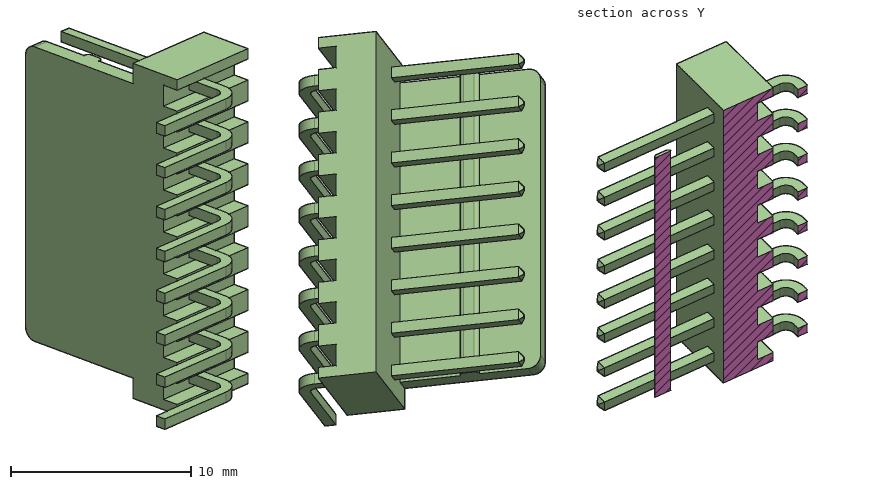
import cadquery as cq


pin_count = 8
pitch = 2.54
pin_size = 0.64
pin_axis_y = 2.4
pin_tip_x = 0.55
pin_end_x = 13.72
pin_end_y = -3.5
bend_outer_radius = 1.2
bend_inner_radius = bend_outer_radius - pin_size
tip_taper = 0.22

body_height = pin_count * pitch
body_depth = 5.8
body_front_x = 8.1
body_back_x = 11.43
notch_depth = 1.03
notch_height = pitch / 2

wall_thickness = 1.0
wall_end_gap = 1.23
wall_corner_radius = 0.7

ridge_center_x = 4.05
ridge_width = 1.1
ridge_height = 0.33
ridge_edge_radius = 0.25

pin_heights = [(index + 0.5) * pitch for index in range(pin_count)]


def box(x_range, y_range, z_range):
    """Axis-aligned block spanning the given ranges."""
    size = [high - low for low, high in (x_range, y_range, z_range)]
    corner = (x_range[0], y_range[0], z_range[0])
    return cq.Workplane("XY").box(*size, centered=False).translate(corner)


def make_body():
    """Rectangular housing, notched across its back face at every pin."""
    body = box((body_front_x, body_back_x), (0, body_depth), (0, body_height))
    for z in pin_heights:
        notch = box(
            (body_back_x - notch_depth, body_back_x),
            (0, body_depth),
            (z - notch_height / 2, z + notch_height / 2),
        )
        body = body.cut(notch)
    return body


def make_wall():
    """Thin wall with rounded free corners and a ridge on its inner face."""
    z_range = (wall_end_gap, body_height - wall_end_gap)
    wall = box((0, body_front_x), (0, wall_thickness), z_range)
    wall = wall.edges("|Y and <X").fillet(wall_corner_radius)
    ridge_x_range = (ridge_center_x - ridge_width / 2, ridge_center_x + ridge_width / 2)
    ridge = box(ridge_x_range, (0, wall_thickness + ridge_height), z_range)
    ridge = ridge.edges("|Z and >Y").fillet(ridge_edge_radius)
    return wall.union(ridge)


def make_pin(z):
    """Square pin centred at height z, tapered at its tip and bent toward -Y."""
    y_range = (pin_end_y, pin_axis_y + pin_size / 2)
    z_range = (z - pin_size / 2, z + pin_size / 2)
    pin = box((pin_tip_x, pin_end_x), y_range, z_range)
    inside_of_bend = box(
        (pin_tip_x, pin_end_x - pin_size),
        (pin_end_y, pin_axis_y - pin_size / 2),
        z_range,
    )
    pin = pin.edges("|Z and >X and >Y").fillet(bend_outer_radius)
    pin = pin.cut(inside_of_bend.edges("|Z and >X and >Y").fillet(bend_inner_radius))
    return pin.faces("<X").chamfer(tip_taper)


result = make_body().union(make_wall())
for pin_height in pin_heights:
    result = result.union(make_pin(pin_height))